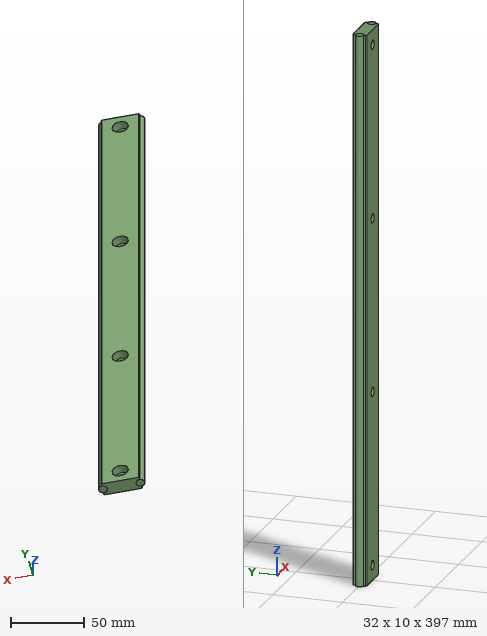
import cadquery as cq

length = 397.0
width = 32.0
thickness = 10.0

rod_diameter = 6.0
rod_radius = rod_diameter / 2
rod_offset = (width - rod_diameter) / 2

rail_width = 27.0
bevel = 0.8

hole_diameter = 6.5
hole_count = 4
hole_pitch = 125.0
counterbore_diameter = 11.0
counterbore_depth = 6.5


def make_rod(x):
    """Full-length round rod standing at the given X."""
    return cq.Workplane("XY").center(x, 0).circle(rod_radius).extrude(length)


def make_rail(rods):
    """Bevelled rail with a groove for each rod and a row of counterbored holes."""
    rail = (
        cq.Workplane("XY")
        .rect(rail_width, thickness)
        .extrude(length)
        .edges("|Z")
        .chamfer(bevel)
    )
    for rod in rods:
        rail = rail.cut(rod)
    return (
        rail.faces(">Y")
        .workplane(origin=(0, thickness / 2, length / 2))
        .rarray(hole_pitch, hole_pitch, 1, hole_count)
        .cboreHole(hole_diameter, counterbore_diameter, counterbore_depth)
    )


rods = [make_rod(side * rod_offset) for side in (-1, 1)]
rail = make_rail(rods)

result = cq.Compound.makeCompound([rail.val(), *[rod.val() for rod in rods]])